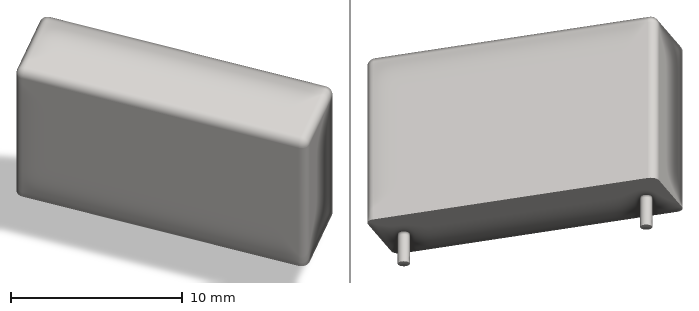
import cadquery as cq

body_length = 18.0
body_width = 5.0
body_height = 10.5
edge_radius = 0.5

pin_diameter = 0.7
pin_length = 1.9
pin_pitch = 15.0


def make_body():
    """Block with rounded upright and top edges and a sharp bottom rim."""
    block = cq.Workplane("XY").box(
        body_length, body_width, body_height, centered=(True, True, False)
    )
    return block.edges("|Z or >Z").fillet(edge_radius)


def make_pins():
    """Two pins on the long centre line, pointing down from the underside."""
    return (
        cq.Workplane("XY")
        .pushPoints([(-pin_pitch / 2, 0), (pin_pitch / 2, 0)])
        .circle(pin_diameter / 2)
        .extrude(-pin_length)
    )


result = make_body().union(make_pins())